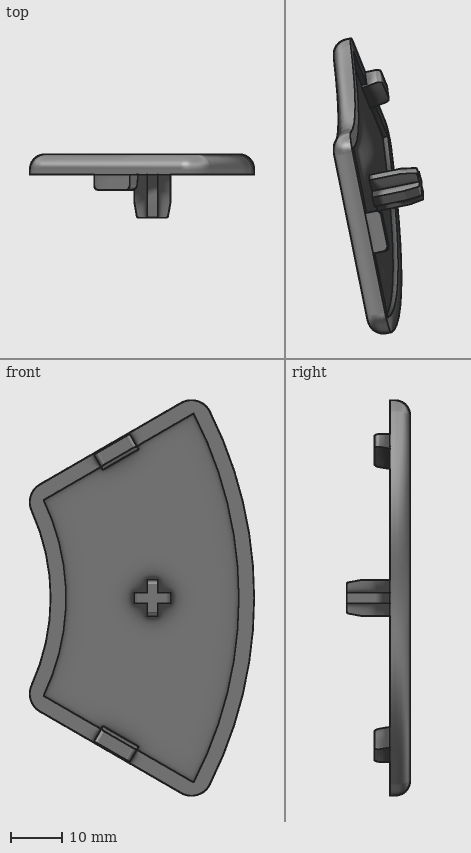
import cadquery as cq
import math

outer_radius = 80.9
inner_radius = 41.0
half_angle = math.radians(30)
side_inset = 0.2
corner_radius = 4.0
plate_thickness = 4.0
back_edge_radius = 3.0

rim_width = 3.0
pocket_depth = 1.0
floor_y = pocket_depth

middle_radius = (outer_radius + inner_radius) / 2

peg_height = 8.4
peg_span = 7.1
peg_tip_span = 6.0
peg_arm_thickness = 2.1
peg_taper_length = 3.0
peg_tip_rounding = 0.5

clip_length = 8.05
clip_height = 3.0
clip_edge_gap = 0.2
clip_base_width = 3.5
clip_top_width = 2.7
clip_end_radius = 1.0


def sector(small_radius, large_radius, edge_offset, depth):
    """Annular sector with its straight sides moved inward, extruded toward +Y."""

    def corner(radius, side):
        angle = half_angle - math.asin(edge_offset / radius)
        return radius * math.cos(angle), side * radius * math.sin(angle)

    return (
        cq.Workplane("XZ")
        .moveTo(*corner(small_radius, -1))
        .lineTo(*corner(large_radius, -1))
        .threePointArc((large_radius, 0), corner(large_radius, 1))
        .lineTo(*corner(small_radius, 1))
        .threePointArc((small_radius, 0), corner(small_radius, -1))
        .close()
        .extrude(-depth)
    )


def make_plate():
    plate = sector(inner_radius, outer_radius, side_inset, plate_thickness)
    plate = plate.edges("|Y").fillet(corner_radius)
    plate = plate.faces(">Y").edges().fillet(back_edge_radius)
    pocket = sector(
        inner_radius + rim_width,
        outer_radius - rim_width,
        side_inset + rim_width,
        pocket_depth,
    )
    return plate.cut(pocket)


def make_peg_arm():
    """One bar of the cross, lying along X, with tapered and rounded ends."""
    half_span = peg_span / 2
    half_tip = peg_tip_span / 2
    taper_y = peg_taper_length - peg_height
    return (
        cq.Workplane("XY", origin=(middle_radius, 0, 0))
        .polyline([
            (-half_span, floor_y),
            (half_span, floor_y),
            (half_span, taper_y),
            (half_tip, -peg_height),
            (-half_tip, -peg_height),
            (-half_span, taper_y),
        ])
        .close()
        .extrude(peg_arm_thickness / 2, both=True)
        .faces("<Y")
        .edges("|Z")
        .fillet(peg_tip_rounding)
    )


def make_peg():
    arm = make_peg_arm()
    crossing_arm = arm.rotate((middle_radius, 0, 0), (middle_radius, 1, 0), 90)
    return arm.union(crossing_arm)


def make_clip():
    """Clip on the upper straight edge, its inner side sloping toward the tip."""
    outer_z = -(side_inset + clip_edge_gap)
    clip = (
        cq.Workplane("YZ", origin=(middle_radius - clip_length / 2, 0, 0))
        .polyline([
            (floor_y, outer_z),
            (-clip_height, outer_z),
            (-clip_height, outer_z - clip_top_width),
            (floor_y, outer_z - clip_base_width),
        ])
        .close()
        .extrude(clip_length)
        .faces("<Y")
        .edges("<X or >X")
        .fillet(clip_end_radius)
    )
    return clip.rotate((0, 0, 0), (0, 1, 0), -math.degrees(half_angle))


upper_clip = make_clip()
lower_clip = upper_clip.mirror("XY")
result = make_plate().union(make_peg()).union(upper_clip).union(lower_clip)